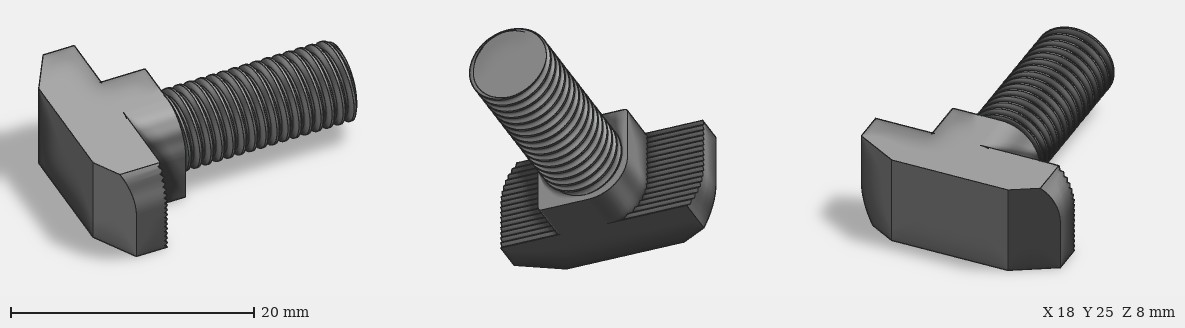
import cadquery as cq
import math


head_width = 18.0
body_height = 8.0
head_thickness = 5.0
head_arc_radius = 5.0
rounding_height = 3.5
bevel_width = 3.75
bevel_angle = 30.0

tooth_count = 16
tooth_pitch = body_height / tooth_count
tooth_depth = tooth_pitch / 2

neck_length = 4.0
neck_corner_radius = 0.3

thread_length = 16.0
thread_pitch = 1.0
major_radius = 3.5
minor_radius = 3.0
flank_half_angle = 30.0
thread_phase = 0.12
ridge_overlap = 0.08
overrun_turns = 3

half_width = head_width / 2
half_height = body_height / 2


def make_head_section():
    """Head outline in XZ: a rectangle with a rounding at top right and its twin at bottom left."""
    arc_drop = head_arc_radius - math.sqrt(head_arc_radius**2 - rounding_height**2)
    arc_start_z = half_height - rounding_height
    top_x = half_width - arc_drop
    return (
        cq.Workplane("XZ")
        .moveTo(-half_width, half_height)
        .lineTo(top_x, half_height)
        .radiusArc((half_width, arc_start_z), head_arc_radius)
        .lineTo(half_width, -half_height)
        .lineTo(-top_x, -half_height)
        .radiusArc((-half_width, -arc_start_z), head_arc_radius)
        .close()
    )


def make_serration_cutter():
    """V grooves running along X across the whole clamping side of the head."""
    cutter = cq.Workplane("YZ").workplane(offset=-half_width)
    for tooth in range(tooth_count):
        low_z = -half_height + tooth * tooth_pitch
        cutter = cutter.polyline([
            (head_thickness, low_z),
            (head_thickness - tooth_depth, low_z + tooth_pitch / 2),
            (head_thickness, low_z + tooth_pitch),
        ]).close()
    return cutter.extrude(head_width)


def make_head():
    """Head with sloping ends on the outer face and a serrated clamping side."""
    bevel_depth = bevel_width * math.tan(math.radians(bevel_angle))
    bevelled_block = (
        cq.Workplane("XY")
        .workplane(offset=-half_height)
        .polyline([
            (-half_width + bevel_width, 0),
            (half_width - bevel_width, 0),
            (half_width, bevel_depth),
            (half_width, head_thickness),
            (-half_width, head_thickness),
            (-half_width, bevel_depth),
        ])
        .close()
        .extrude(body_height)
    )
    head = make_head_section().extrude(-head_thickness).intersect(bevelled_block)
    return head.cut(make_serration_cutter())


def make_neck():
    """Square neck: large quarter rounds on one diagonal, small ones on the other."""
    round_start = half_height - rounding_height
    small_start = half_height - neck_corner_radius
    return (
        cq.Workplane("XZ", origin=(0, head_thickness - tooth_depth, 0))
        .moveTo(-small_start, half_height)
        .lineTo(round_start, half_height)
        .radiusArc((half_height, round_start), rounding_height)
        .lineTo(half_height, -small_start)
        .radiusArc((small_start, -half_height), neck_corner_radius)
        .lineTo(-round_start, -half_height)
        .radiusArc((-half_height, -round_start), rounding_height)
        .lineTo(-half_height, small_start)
        .radiusArc((-small_start, half_height), neck_corner_radius)
        .close()
        .extrude(-(neck_length + tooth_depth))
    )


def make_thread():
    """Right-hand threaded shank, made upright along +Z from Z = 0."""
    flank_slope = math.tan(math.radians(flank_half_angle))
    crest_width = thread_pitch / 2 - (major_radius - minor_radius) * flank_slope
    base_radius = minor_radius - ridge_overlap
    base_width = crest_width + 2 * (major_radius - base_radius) * flank_slope

    first_root = thread_phase - thread_pitch
    first_crest = first_root - thread_pitch / 2
    ridge_length = thread_length - 2 * first_crest
    helix = cq.Wire.makeHelix(
        thread_pitch, ridge_length, base_radius, center=cq.Vector(0, 0, first_crest)
    )
    ridge = (
        cq.Workplane("XZ")
        .polyline([
            (base_radius, first_crest - base_width / 2),
            (major_radius, first_crest - crest_width / 2),
            (major_radius, first_crest + crest_width / 2),
            (base_radius, first_crest + base_width / 2),
        ])
        .close()
        .sweep(cq.Workplane(helix), isFrenet=True)
    )
    core_overrun = overrun_turns * thread_pitch
    core = (
        cq.Workplane("XY")
        .workplane(offset=-core_overrun)
        .circle(minor_radius)
        .extrude(thread_length + 2 * core_overrun)
    )
    shank_envelope = cq.Workplane("XY").circle(2 * major_radius).extrude(thread_length)
    return core.union(ridge).intersect(shank_envelope)


def make_shank():
    """Threaded shank turned onto the bolt axis and set on the end of the neck."""
    return (
        make_thread()
        .rotate((0, 0, 0), (1, 0, 0), -90)
        .translate((0, head_thickness + neck_length, 0))
    )


result = make_head().union(make_neck()).union(make_shank())